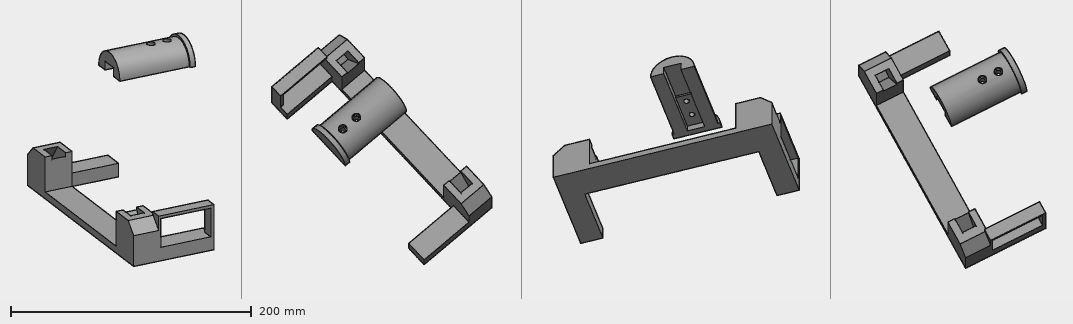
import cadquery as cq
import math

cradle_length = 190.5
base_height = 6.3
tower_width = 31.6
tower_depth = 25.3
tower_height = 38.0
tower_chamfer = 10.0
arm_width = 19.5
arm_height = 12.4
arm_end_y = 75.2

left_pocket_length = 14.5
right_pocket_length = 13.7
pocket_width = 12.8
pocket_start_y = 6.5
left_pocket_lip = 3.2
right_pocket_lip = 2.5
pocket_slope = math.radians(54)

handle_width = 11.0
handle_top = 41.0
handle_bar = 2.7
handle_post = 3.0
handle_overlap = 2.0

overall_depth = 96.8
overall_height = 154.0
flange_radius = 21.0
flange_thickness = 5.0
peg_radius = 19.0
peg_front_y = 26.9
peg_center_x = cradle_length / 2
peg_bottom_z = overall_height - flange_radius
flange_front_y = overall_depth - flange_thickness
peg_length = flange_front_y - peg_front_y

slot_width = 15.0
slot_front_height = 8.0
slot_rear_height = 6.1
slot_front_length = peg_length / 2

hole_diameter = 4.5
counterbore_diameter = 7.0
counterbore_depth = 4.2
rear_hole_y = 81.0
hole_spacing = 15.0


def box(x, y, z, dx, dy, dz):
    """Box given by its lowest corner and its sizes."""
    return cq.Workplane("XY").box(dx, dy, dz, centered=False).translate((x, y, z))


def extrude_along_y(points, start_y, depth):
    """Closed XZ outline extruded toward +Y from start_y."""
    return cq.Workplane("XZ", origin=(0, start_y, 0)).polyline(points).close().extrude(-depth)


def make_front_frame():
    """Base strip with a chamfered tower at each end."""
    shoulder = tower_height - tower_chamfer
    outline = [
        (0, 0),
        (cradle_length, 0),
        (cradle_length, shoulder),
        (cradle_length - tower_chamfer, tower_height),
        (cradle_length - tower_width, tower_height),
        (cradle_length - tower_width, base_height),
        (tower_width, base_height),
        (tower_width, tower_height),
        (tower_chamfer, tower_height),
        (0, shoulder),
    ]
    return extrude_along_y(outline, 0, tower_depth)


def make_pocket(inner_x, outward, length, lip):
    """Tunnel cutter with parallel floor and roof and a square end; outward is +1 or -1 along X."""
    floor_end_z = tower_height - lip - length * math.tan(pocket_slope)
    thickness = (tower_height - floor_end_z) * math.cos(pocket_slope)
    roof_end_offset = length + thickness * math.sin(pocket_slope)
    roof_end_z = floor_end_z + thickness * math.cos(pocket_slope)
    outline = [
        (inner_x, tower_height),
        (inner_x, tower_height - lip),
        (inner_x + outward * length, floor_end_z),
        (inner_x + outward * roof_end_offset, roof_end_z),
        (inner_x + outward * length, tower_height),
    ]
    return extrude_along_y(outline, pocket_start_y, pocket_width)


def make_handle():
    """Side frame: top bar, rear post and a front end seated on the tower chamfer."""
    handle_x = cradle_length - handle_width
    handle_start_y = tower_depth - handle_overlap
    bar = box(handle_x, handle_start_y, handle_top - handle_bar,
              handle_width, arm_end_y - handle_start_y, handle_bar)
    rear_post = box(handle_x, arm_end_y - handle_post, arm_height,
                    handle_width, handle_post, handle_top - arm_height)
    front_post = box(handle_x, handle_start_y, arm_height,
                     handle_width, handle_overlap, handle_top - arm_height)
    return bar.union(rear_post).union(front_post)


def make_cradle():
    cradle = make_front_frame()
    for arm_x in (0, cradle_length - arm_width):
        cradle = cradle.union(box(arm_x, 0, 0, arm_width, arm_end_y, arm_height))
    cradle = cradle.union(make_handle())
    left_inner_x = tower_width
    right_inner_x = cradle_length - tower_width
    cradle = cradle.cut(make_pocket(left_inner_x, -1, left_pocket_length, left_pocket_lip))
    return cradle.cut(make_pocket(right_inner_x, 1, right_pocket_length, right_pocket_lip))


def half_cylinder(radius, start_y, length):
    """Upper half of a cylinder along Y, with its flat side at peg_bottom_z."""
    return (
        cq.Workplane("XZ", origin=(peg_center_x, start_y, peg_bottom_z))
        .moveTo(-radius, 0)
        .threePointArc((0, radius), (radius, 0))
        .close()
        .extrude(-length)
    )


def make_slot():
    """Slot cutter: a taller front stretch, then a lower one up to the flange."""
    slot_x = peg_center_x - slot_width / 2
    front = box(slot_x, peg_front_y, peg_bottom_z, slot_width, slot_front_length, slot_front_height)
    full = box(slot_x, peg_front_y, peg_bottom_z, slot_width, peg_length, slot_rear_height)
    return front.union(full)


def make_screw_hole(y):
    """Through hole with a counterbore sunk from the crown of the peg."""
    bottom = cq.Workplane("XY", origin=(peg_center_x, y, peg_bottom_z))
    hole = bottom.circle(hole_diameter / 2).extrude(peg_radius)
    crown = cq.Workplane("XY", origin=(peg_center_x, y, peg_bottom_z + peg_radius))
    counterbore = crown.circle(counterbore_diameter / 2).extrude(-counterbore_depth)
    return hole.union(counterbore)


def make_peg():
    peg = half_cylinder(peg_radius, peg_front_y, peg_length)
    peg = peg.union(half_cylinder(flange_radius, flange_front_y, flange_thickness))
    peg = peg.cut(make_slot())
    for hole_y in (rear_hole_y, rear_hole_y - hole_spacing):
        peg = peg.cut(make_screw_hole(hole_y))
    return peg


cradle = make_cradle()
peg = make_peg()
result = cq.Compound.makeCompound([cradle.val(), peg.val()])